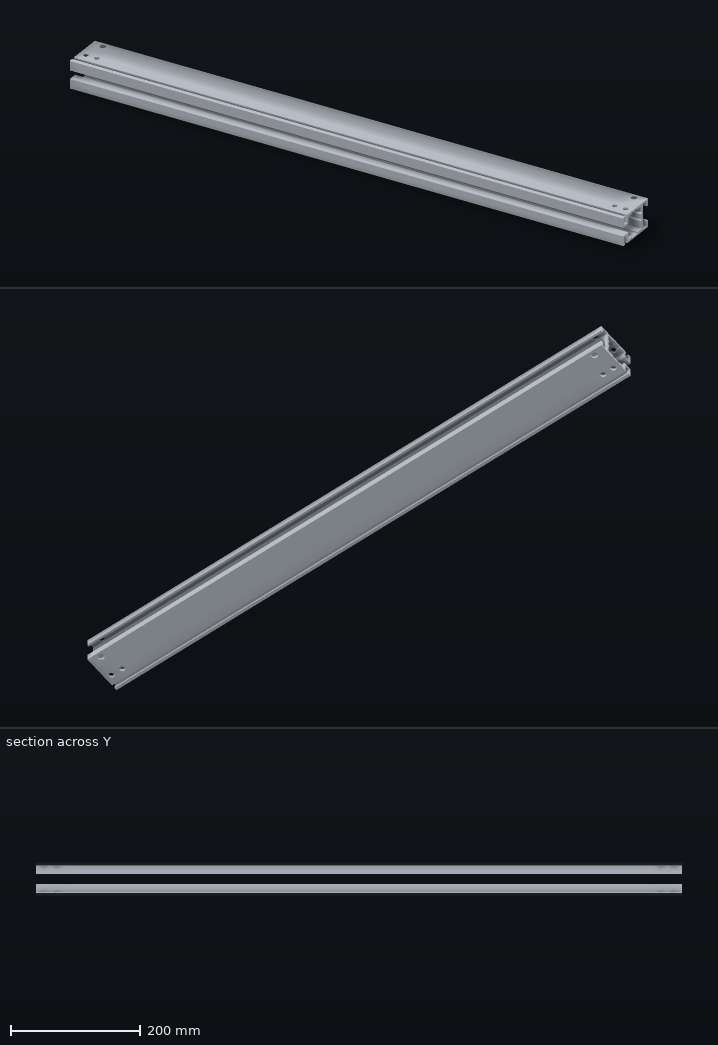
import cadquery as cq

length = 1000.0
width = 75.0
height = 50.0

back = width / 2
front = -width / 2
top = height / 2

wall = 3.0
wall_front = front + 12.0

back_lip_thickness = 4.0
back_lip_depth = 12.0

web_back = back - 15.0
web_thickness = 3.0
web_front = web_back - web_thickness
rib_height = 3.0
rib_root = 4.0
rib_tip = 2.0
rib_offset = 6.0

slot_width = 15.0
leg_back = front + 16.0
leg_thickness = 3.0
leg_front = leg_back - leg_thickness
jaw_floor = 3.0
face_thickness = 4.0
hook_reach = 6.0
hook_chamfer = 1.0
hook_thickness = 3.0

pad_thickness = 2.0
back_pad_width = 13.0
front_pad_width = 11.0

large_diameter = 11.0
large_from_end = 20.0
large_y = back - 9.0
small_diameter = 9.0
small_from_end = (12.0, 32.0)
small_y = front + 28.0


def bar(y_min, y_max, z_min, z_max):
    """Full-length bar with the given YZ rectangle as its section."""
    return cq.Workplane("XY").box(length, y_max - y_min, z_max - z_min).translate(
        (0, (y_min + y_max) / 2, (z_min + z_max) / 2)
    )


def prism(outline):
    """Full-length bar with the given list of (y, z) corners as its section."""
    return cq.Workplane("YZ").polyline(outline).close().extrude(length / 2, both=True)


def upper_wall():
    """Top wall with its back lip and its two pads."""
    plate = bar(wall_front, back, top - wall, top)
    lip = bar(back - back_lip_thickness, back, top - back_lip_depth, top)
    pad_bottom = top - wall - pad_thickness
    back_pad = bar(web_front - back_pad_width, web_front, pad_bottom, top)
    front_pad = bar(leg_back, leg_back + front_pad_width, pad_bottom, top)
    return plate.union(lip).union(back_pad).union(front_pad)


def upper_web():
    """Upper half of the web with its rib."""
    web = bar(web_front, web_back, 0, top)
    rib = prism([
        (web_back, rib_offset - rib_root / 2),
        (web_front, rib_offset - rib_root / 2),
        (web_front - rib_height, rib_offset - rib_tip / 2),
        (web_front - rib_height, rib_offset + rib_tip / 2),
        (web_front, rib_offset + rib_root / 2),
        (web_back, rib_offset + rib_root / 2),
    ])
    return web.union(rib)


def upper_jaw():
    """Leg, floor beside the slot, front face and hook, as one outline."""
    slot_edge = slot_width / 2
    floor_top = slot_edge + jaw_floor
    face_back = front + face_thickness
    hook_back = front + hook_reach
    hook_bottom = top - hook_thickness
    return prism([
        (leg_back, top),
        (leg_back, slot_edge),
        (front, slot_edge),
        (front, top - hook_chamfer),
        (front + hook_chamfer, top),
        (hook_back, top),
        (hook_back, hook_bottom),
        (face_back, hook_bottom),
        (face_back, floor_top),
        (leg_front, floor_top),
        (leg_front, top),
    ])


def hole(diameter, x, y):
    """Vertical cylinder through the full height of the part."""
    return cq.Workplane("XY").center(x, y).circle(diameter / 2).extrude(top, both=True)


upper_half = upper_wall().union(upper_web()).union(upper_jaw())
result = upper_half.union(upper_half.mirror("XY"))

for end in (-1, 1):
    result = result.cut(hole(large_diameter, end * (length / 2 - large_from_end), large_y))
    for inset in small_from_end:
        result = result.cut(hole(small_diameter, end * (length / 2 - inset), small_y))